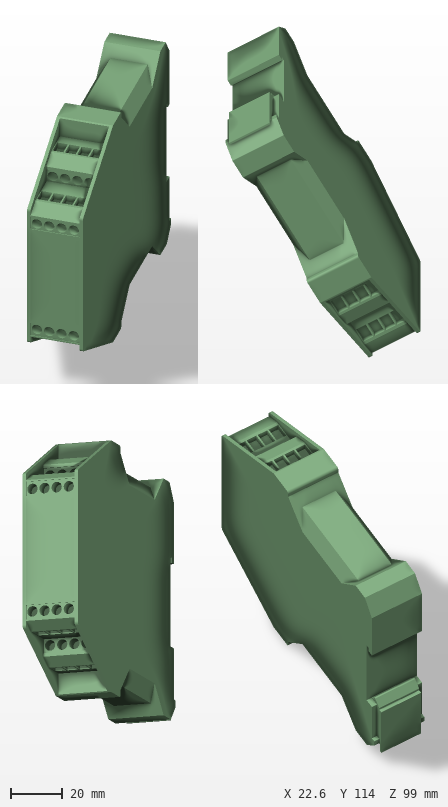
import cadquery as cq


width = 22.6
height = 99.0
depth = 114.05

nose_length = 38.5
nose_slope = 0.5
front_half_height = height / 2 - nose_slope * nose_length
front_edge_radius = 1.5

shoulder_back = 49.1
shoulder_foot_z = 46.7
shoulder_radius = 1.0

waist_z = 36.1
waist_front = shoulder_back + shoulder_foot_z - waist_z
waist_back = 88.5

rail_end_z = 46.55
rail_end_front = waist_back + rail_end_z - waist_z
rail_end_top_back = 105.75
rail_end_bottom_back = 107.2
back_face = 110.9
back_bevel_z = 39.3
heel_back = 112.6
heel_top_z = -38.0
heel_bottom_z = -40.8

notch_floor = 107.05
notch_lip_z = 15.3
notch_top_z = 17.4
notch_undercut = 108.3
notch_bottom_z = -17.9

filler_top_z = 42.4
filler_top_width = 15.0

clip_width = 18.0
clip_plate_front = 113.3
clip_plate_top_z = -19.3
clip_plate_bottom_z = -45.4
clip_root_z = -41.1
hook_foot_z = -18.2
clip_ledge_z = -17.6
hook_tip_back = 109.6
hook_tip_front = 108.4
hook_tip_z = -15.5

side_wall = 1.4
bay_width = width - 2 * side_wall
bay_back = 37.8
upper_deck_z = 40.9
upper_deck_front = 26.3
upper_brow = 20.35
upper_brow_top_z = 37.75
upper_brow_bottom_z = 36.4
upper_setback = 0.5
upper_screw_face = upper_brow + upper_setback
lower_deck_z = 30.8
lower_deck_front = 6.2
lower_brow_top_z = 27.7
lower_brow_bottom_z = 27.1
lower_band_bottom_z = 21.5
panel_face = 0.2
lower_setback = 0.3
lower_screw_face = panel_face + lower_setback

terminals_per_row = 4
terminal_pitch = bay_width / terminals_per_row
screw_hole_diameter = 4.15
screw_hole_depth = 5.0
upper_screw_z = 33.4
lower_screw_z = 24.1
window_width = 4.3
window_length = 5.95
window_depth = 2.8
upper_window_y = 30.3
lower_window_y = 10.5

overrun = 5.0


def extrude_across(outline, across):
    """Extrude a closed (y, z) outline along X, centred on X = 0."""
    return cq.Workplane("YZ").polyline(outline).close().extrude(across / 2, both=True)


def mirrored_pair(shape):
    """The shape and its mirror image below the mid-height plane."""
    return shape.union(shape.mirror("XY"))


def make_housing():
    """Full-width body with a tapered nose, a waist and a notched rail end."""
    upper_outline = [
        (0, front_half_height),
        (nose_length, height / 2),
        (shoulder_back, height / 2),
        (shoulder_back, shoulder_foot_z),
        (waist_front, waist_z),
        (waist_back, waist_z),
        (rail_end_front, rail_end_z),
    ]
    rail_outline = [
        (rail_end_top_back, rail_end_z),
        (back_face, back_bevel_z),
        (back_face, notch_lip_z),
        (notch_undercut, notch_lip_z),
        (notch_undercut, notch_top_z),
        (notch_floor, notch_top_z),
        (notch_floor, notch_bottom_z),
        (back_face, notch_bottom_z),
        (back_face, heel_top_z),
        (heel_back, heel_top_z),
        (heel_back, heel_bottom_z),
        (rail_end_bottom_back, -rail_end_z),
    ]
    lower_outline = [(y, -z) for y, z in reversed(upper_outline)]
    body = extrude_across(upper_outline + rail_outline + lower_outline, width)
    for side in (1, -1):
        front_edge = cq.selectors.NearestToPointSelector((0, 0, side * front_half_height))
        body = body.edges(front_edge).fillet(front_edge_radius)
        shoulder_edge = cq.selectors.NearestToPointSelector((0, shoulder_back, side * height / 2))
        body = body.edges(shoulder_edge).fillet(shoulder_radius)
    return body


def make_waist_fillers():
    """Fillers whose sides taper in from the full width and whose ends follow the waist flanks."""
    rise = filler_top_z - waist_z
    flank_fill = extrude_across(
        [
            (waist_front, waist_z),
            (waist_back, waist_z),
            (waist_back + rise, filler_top_z),
            (waist_front - rise, filler_top_z),
        ],
        width,
    )
    taper = (
        cq.Workplane("XZ")
        .polyline(
            [
                (-width / 2, waist_z),
                (width / 2, waist_z),
                (filler_top_width / 2, filler_top_z),
                (-filler_top_width / 2, filler_top_z),
            ]
        )
        .close()
        .extrude(-depth)
    )
    return mirrored_pair(flank_fill.intersect(taper))


def make_rail_clip():
    """Narrower clip behind the lower rail end: a hook on top and a flat release plate."""
    hook_mid = (hook_tip_back + hook_tip_front) / 2
    hook_side_z = hook_tip_z - (hook_tip_back - hook_tip_front) / 2
    return (
        cq.Workplane("YZ")
        .moveTo(depth, clip_plate_bottom_z)
        .lineTo(depth, clip_plate_top_z)
        .lineTo(heel_back, clip_plate_top_z)
        .lineTo(heel_back, hook_foot_z)
        .lineTo(hook_tip_back, hook_tip_z)
        .lineTo(hook_mid, hook_tip_z)
        .lineTo(hook_tip_front, hook_side_z)
        .lineTo(hook_tip_front, clip_ledge_z)
        .lineTo(notch_floor, clip_ledge_z)
        .lineTo(notch_floor, clip_root_z)
        .lineTo(clip_plate_front, clip_root_z)
        .lineTo(clip_plate_front, clip_plate_bottom_z)
        .close()
        .extrude(clip_width / 2, both=True)
    )


def make_terminal_bays():
    """Space above the stepped terminal rows and in front of the slightly recessed front panel."""
    above = height / 2 + overrun
    bay = extrude_across(
        [
            (bay_back, above),
            (bay_back, upper_deck_z),
            (upper_deck_front, upper_deck_z),
            (upper_brow, upper_brow_top_z),
            (upper_brow, upper_brow_bottom_z),
            (upper_screw_face, upper_brow_bottom_z),
            (upper_screw_face, lower_deck_z),
            (lower_deck_front, lower_deck_z),
            (panel_face, lower_brow_top_z),
            (panel_face, lower_brow_bottom_z),
            (lower_screw_face, lower_brow_bottom_z),
            (lower_screw_face, lower_band_bottom_z),
            (panel_face, lower_band_bottom_z),
            (panel_face, 0),
            (-overrun, 0),
            (-overrun, above),
        ],
        bay_width,
    )
    return mirrored_pair(bay)


def make_terminal_row(face_y, screw_z, deck_z, window_y):
    """Screw holes in one vertical face and wire windows in the deck above it."""
    centres = [(i - (terminals_per_row - 1) / 2) * terminal_pitch for i in range(terminals_per_row)]
    screws = (
        cq.Workplane("XZ", origin=(0, face_y, screw_z))
        .pushPoints([(x, 0) for x in centres])
        .circle(screw_hole_diameter / 2)
        .extrude(-screw_hole_depth)
    )
    windows = (
        cq.Workplane("XY", origin=(0, window_y, deck_z))
        .pushPoints([(x, 0) for x in centres])
        .rect(window_width, window_length)
        .extrude(-window_depth)
    )
    return mirrored_pair(screws.union(windows))


result = make_housing().union(make_waist_fillers()).union(make_rail_clip())
result = result.cut(make_terminal_bays())
result = result.cut(
    make_terminal_row(upper_screw_face, upper_screw_z, upper_deck_z, upper_window_y)
)
result = result.cut(
    make_terminal_row(lower_screw_face, lower_screw_z, lower_deck_z, lower_window_y)
)